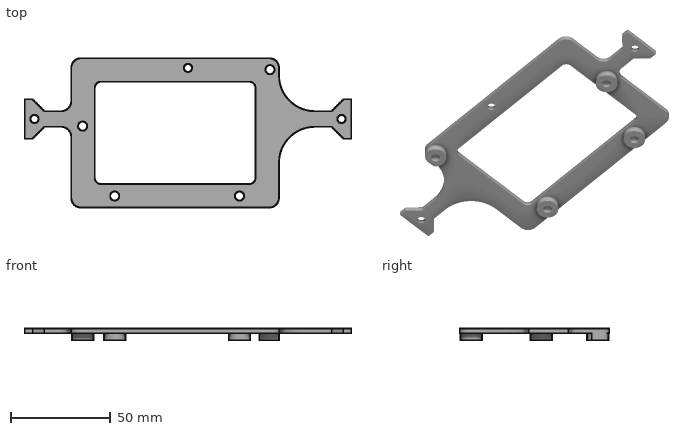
import cadquery as cq
import math

total_length = 165.0
plate_thickness = 2.5
total_height = 6.0
boss_height = total_height - plate_thickness

frame_left = -59.0
frame_right = 46.0
frame_width = 75.51
frame_length = frame_right - frame_left
frame_center_x = (frame_left + frame_right) / 2
frame_corner_radius = 5.0

frame_rail = 12.0
window_length = frame_length - 2 * frame_rail
window_width = frame_width - 2 * frame_rail
window_corner_radius = 3.0

arm_y = 7.0
neck_half_width = 4.0
tab_half_width = 10.0
tab_end_length = 4.0
flare_length = tab_half_width - neck_half_width
arm_overlap = frame_rail / 2
left_neck_radius = 5.0
right_neck_radius = 18.0

small_hole_diameter = 4.0
boss_hole_diameter = 4.5
boss_diameter = 11.0
tab_hole_inset = 5.0
tab_hole_x = total_length / 2 - tab_hole_inset
top_hole_inset = 5.0
small_hole_points = [
    (-tab_hole_x, arm_y),
    (tab_hole_x, arm_y),
    (0.0, frame_width / 2 - top_hole_inset),
]
edge_boss_y = 31.9
boss_points = [
    (-53.2, 3.4),
    (-37.0, -edge_boss_y),
    (26.0, -edge_boss_y),
    (41.4, edge_boss_y),
]


def make_frame(height):
    """Solid frame rectangle with rounded corners, standing on Z = 0."""
    return (
        cq.Workplane("XY")
        .center(frame_center_x, 0)
        .rect(frame_length, frame_width)
        .extrude(height)
        .edges("|Z")
        .fillet(frame_corner_radius)
    )


def make_arm(root_x, side, neck_radius):
    """Arm running from the frame edge root_x outward; side is -1 (left) or +1 (right)."""
    tip_x = side * total_length / 2
    flare_outer_x = tip_x - side * tab_end_length
    flare_inner_x = flare_outer_x - side * flare_length
    neck_start_x = root_x + side * neck_radius
    root_half_width = neck_half_width + neck_radius
    arc_offset = neck_radius * (1 - math.cos(math.radians(45)))
    arc_mid_x = root_x + side * arc_offset
    arc_mid_y = neck_half_width + arc_offset
    inside_frame_x = root_x - side * arm_overlap
    return (
        cq.Workplane("XY")
        .center(0, arm_y)
        .moveTo(inside_frame_x, root_half_width)
        .lineTo(root_x, root_half_width)
        .threePointArc((arc_mid_x, arc_mid_y), (neck_start_x, neck_half_width))
        .lineTo(flare_inner_x, neck_half_width)
        .lineTo(flare_outer_x, tab_half_width)
        .lineTo(tip_x, tab_half_width)
        .lineTo(tip_x, -tab_half_width)
        .lineTo(flare_outer_x, -tab_half_width)
        .lineTo(flare_inner_x, -neck_half_width)
        .lineTo(neck_start_x, -neck_half_width)
        .threePointArc((arc_mid_x, -arc_mid_y), (root_x, -root_half_width))
        .lineTo(inside_frame_x, -root_half_width)
        .close()
        .extrude(plate_thickness)
    )


def make_window():
    """Rounded rectangular cutter for the frame window."""
    return (
        cq.Workplane("XY")
        .center(frame_center_x, 0)
        .rect(window_length, window_width)
        .extrude(plate_thickness)
        .edges("|Z")
        .fillet(window_corner_radius)
    )


def make_cylinders(points, diameter):
    """Cylinders from the underside of the bosses to the top of the plate."""
    return (
        cq.Workplane("XY")
        .workplane(offset=-boss_height)
        .pushPoints(points)
        .circle(diameter / 2)
        .extrude(total_height)
    )


def make_bosses():
    """Bosses under the plate, trimmed flush where they would overhang the frame edge."""
    trim = make_frame(total_height).translate((0, 0, -boss_height))
    return make_cylinders(boss_points, boss_diameter).intersect(trim)


plate = (
    make_frame(plate_thickness)
    .union(make_arm(frame_left, -1, left_neck_radius))
    .union(make_arm(frame_right, 1, right_neck_radius))
    .cut(make_window())
)

result = (
    plate.union(make_bosses())
    .cut(make_cylinders(small_hole_points, small_hole_diameter))
    .cut(make_cylinders(boss_points, boss_hole_diameter))
)